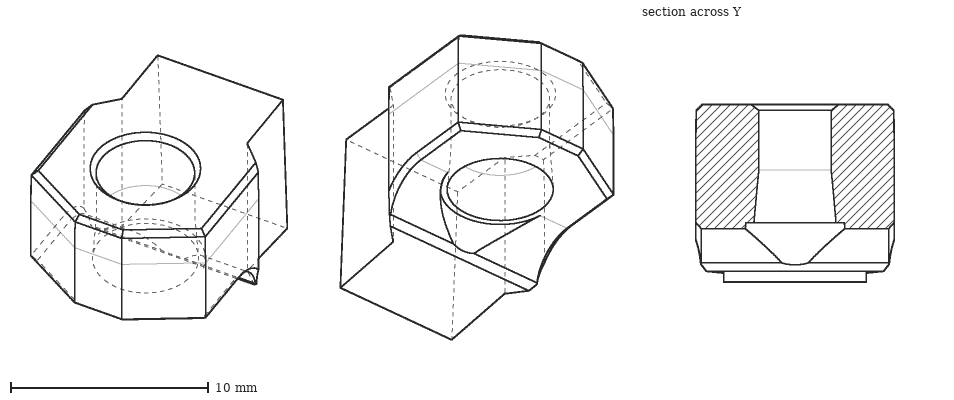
import cadquery as cq
import math

body_height = 6.0
side_distance = 5.04
top_side_distance = 5.0
taper_height = 2.0
front_facet_angle = 60.0
edge_chamfer = 0.3

hole_radius = 2.5
flare_top_z = 2.7
flare_angle = 4.0
head_clearance_radius = 3.03

jaw_half_width = 3.61
jaw_depth = 3.0
jaw_top_y = 7.99
jaw_back_angle = 3.0
jaw_bottom_angle = 6.0
corner_face_distance = 5.5

hollow_radius = 2.5
hollow_start_y = 0.5
toe_bevel_z = -2.03
toe_bevel_angle = 52.0

total_height = body_height + jaw_depth
taper_angle = math.degrees(math.atan((side_distance - top_side_distance) / taper_height))
jaw_tip_y = jaw_top_y + total_height * math.tan(math.radians(jaw_back_angle))
toe_wall_y = hollow_start_y + hollow_radius
clearance = 5.0


def body_outline():
    """Front sides of the body, tangent to one circle, with straight flanks running past the jaw."""
    cosine = math.cos(math.radians(front_facet_angle))
    sine = math.sin(math.radians(front_facet_angle))
    flank_y = -side_distance * (1 - cosine) / sine
    front_x = side_distance * (1 - sine) / cosine
    back_y = jaw_tip_y + clearance
    right_side = [(front_x, -side_distance), (side_distance, flank_y), (side_distance, back_y)]
    left_side = [(-x, y) for x, y in reversed(right_side)]
    return right_side + left_side


def body_block():
    """Full-depth block with upright sides below and leaning sides above."""
    taper_start_z = body_height - taper_height
    lower = (
        cq.Workplane("XY", origin=(0, 0, -jaw_depth))
        .polyline(body_outline())
        .close()
        .extrude(total_height - taper_height)
    )
    upper = (
        cq.Workplane("XY", origin=(0, 0, taper_start_z))
        .polyline(body_outline())
        .close()
        .extrude(taper_height, taper=taper_angle)
    )
    return lower.union(upper, clean=False)


def side_profile():
    """Lengthwise section in the YZ plane: seating face, hollow, jaw and leaning back."""
    front_y = -side_distance - clearance
    toe_wall_bottom_z = -jaw_depth + (jaw_tip_y - toe_wall_y) * math.tan(math.radians(jaw_bottom_angle))
    diagonal = hollow_radius / math.sqrt(2)
    return (
        cq.Workplane("YZ")
        .moveTo(front_y, body_height)
        .lineTo(front_y, 0)
        .lineTo(hollow_start_y, 0)
        .threePointArc(
            (hollow_start_y + diagonal, -hollow_radius + diagonal),
            (toe_wall_y, -hollow_radius),
        )
        .lineTo(toe_wall_y, toe_wall_bottom_z)
        .lineTo(jaw_tip_y, -jaw_depth)
        .lineTo(jaw_top_y, body_height)
        .close()
        .extrude(side_distance + clearance, both=True)
    )


def chamfer_edges(part):
    """Bevel the top edge, the seating face edge and the flanks of the hollow."""
    top_edges = part.faces(">Z").edges("not >Y")
    seat_edges = part.faces(cq.selectors.NearestToPointSelector((0, 0, 0))).edges("not >Y")
    hollow_edges = part.edges("%CIRCLE")
    return top_edges.add(seat_edges).add(hollow_edges).chamfer(edge_chamfer)


def toe_bevel_cutter():
    """Prism that bevels the lower front edge of the jaw."""
    toe_y = hollow_start_y + math.sqrt(hollow_radius**2 - (hollow_radius + toe_bevel_z) ** 2)
    reach = toe_bevel_z + jaw_depth + clearance
    return (
        cq.Workplane("YZ")
        .moveTo(toe_y, toe_bevel_z)
        .lineTo(toe_y, toe_bevel_z - reach)
        .lineTo(toe_y + reach / math.tan(math.radians(toe_bevel_angle)), toe_bevel_z - reach)
        .close()
        .extrude(side_distance + clearance, both=True)
    )


def jaw_outline_block():
    """Plan outline that narrows the part to the jaw through two 45 degree corner faces."""
    corner_sum = corner_face_distance * math.sqrt(2)
    outer_x = side_distance + clearance
    right_side = [
        (outer_x, -outer_x),
        (outer_x, corner_sum - outer_x),
        (jaw_half_width, corner_sum - jaw_half_width),
        (jaw_half_width, jaw_tip_y + clearance),
    ]
    left_side = [(-x, y) for x, y in reversed(right_side)]
    return (
        cq.Workplane("XY", origin=(0, 0, -jaw_depth))
        .polyline(right_side + left_side)
        .close()
        .extrude(total_height)
    )


def screw_hole_cutter():
    """Through hole bevelled at the top and flared below, with a wider recess past the jaw."""
    rim_radius = hole_radius + edge_chamfer
    flare_radius = hole_radius + flare_top_z * math.tan(math.radians(flare_angle))
    hole_outline = [
        (0, -jaw_depth),
        (head_clearance_radius, -jaw_depth),
        (head_clearance_radius, 0),
        (flare_radius, 0),
        (hole_radius, flare_top_z),
        (hole_radius, body_height - edge_chamfer),
        (rim_radius, body_height),
        (0, body_height),
    ]
    return cq.Workplane("XZ").polyline(hole_outline).close().revolve(360, (0, 0), (0, 1))


clamp = chamfer_edges(body_block().intersect(side_profile(), clean=False))
clamp = clamp.cut(toe_bevel_cutter())
clamp = clamp.intersect(jaw_outline_block())
result = clamp.cut(screw_hole_cutter())